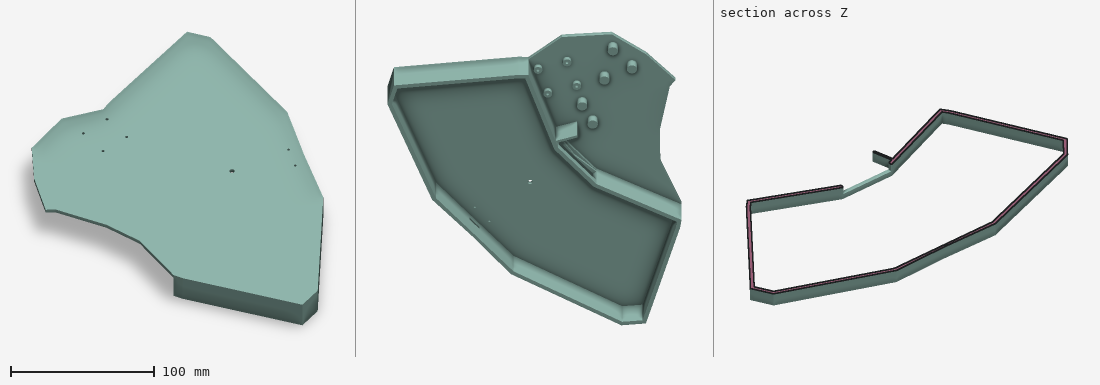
import cadquery as cq
import math

TOTAL_HEIGHT = 21.0
LID_THICKNESS = 3.0
LID_UNDERSIDE = TOTAL_HEIGHT - LID_THICKNESS
WALL = 3.0

REAR_CORNER = (42.5, 53.3)
REAR_MIDDLE = (0, 52.5)
SHOULDER = (126.0, 23.5)
SIDE_TIP = (136.0, 9.2)
SIDE_END = (87.2, -62.8)
FRONT_CORNER = (82.5, -68.0)
FRONT_ANGLE = 22.0
FRONT_HALF_WIDTH = 20.7
FRONT_SLOPE = math.tan(math.radians(FRONT_ANGLE))
FRONT_WALL_Y = FRONT_CORNER[1] + (FRONT_CORNER[0] - FRONT_HALF_WIDTH) * FRONT_SLOPE

LID_TONGUE = [
    (44.5, -80.7),
    (23.0, -98.5),
    (-1.4, -128.0),
    (-3.0, -134.5),
    (-33.5, -133.5),
    (-62.2, -126.5),
    (-FRONT_CORNER[0], -98.5),
]

OPENING_HALF_WIDTH = 20.5
OPENING_BOTTOM = 4.3
OPENING_TOP = 14.0
RECESS_TOP = 15.8
RECESS_DEPTH = 2.5

SLOT_WIDTH = 11.0
SLOT_BOTTOM = 12.0
SLOT_TOP = OPENING_TOP

CUTTER_DEPTH = 4 * WALL

CENTRE_HOLE_DIAMETER = 3.5
REAR_HOLE_DIAMETER = 1.85
REAR_HOLE_X = 8.0
REAR_HOLE_Y = 43.5

BOSS_CENTRE = (-58.7, -74.2)
BOSS_SPACING = (21.7, 21.2)
BOSS_DIAMETER = 6.0
BOSS_LENGTH = 3.0
BOSS_HOLE_DIAMETER = 2.1

PEG_DIAMETER = 7.0
PEG_LENGTH = 6.0
PEG_POINTS = [
    (-53.8, -120.5),
    (-33.2, -120.5),
    (-38.0, -99.5),
    (-30.7, -73.0),
    (-13.9, -68.5),
]

RIB_START_X = -25.3
RIB_LENGTH = 15.2
RIB_WIDTH = 2.0
RIB_BOTTOM = 2.0


def mirrored(point):
    return (-point[0], point[1])


def prism(points, bottom, top):
    return cq.Workplane("XY").workplane(offset=bottom).polyline(points).close().extrude(top - bottom)


def hanging_cylinders(points, diameter, length):
    """Cylinders that hang from the lid, sunk into it so that they join."""
    bottom = LID_UNDERSIDE - length
    plane = cq.Workplane("XY").workplane(offset=bottom).pushPoints(points)
    return plane.circle(diameter / 2).extrude(TOTAL_HEIGHT - bottom)


def lid_holes(points, diameter):
    return cq.Workplane("XY").pushPoints(points).circle(diameter / 2).extrude(TOTAL_HEIGHT)


def wall_cutter(width, y, bottom, top):
    """Block that passes through a wall running along X at the given Y."""
    return (
        cq.Workplane("XY")
        .box(width, CUTTER_DEPTH, top - bottom, centered=(True, True, False))
        .translate((0, y, bottom))
    )


right_side = [REAR_CORNER, SHOULDER, SIDE_TIP, SIDE_END, FRONT_CORNER]
left_side = [mirrored(point) for point in reversed(right_side)]
fan = left_side + [REAR_MIDDLE] + right_side
front_wall_ends = [(FRONT_HALF_WIDTH, FRONT_WALL_Y), (-FRONT_HALF_WIDTH, FRONT_WALL_Y)]

inner_outline = left_side + right_side + front_wall_ends
housing = prism(fan + front_wall_ends, 0, TOTAL_HEIGHT)
cavity = cq.Workplane("XY").polyline(inner_outline).close().offset2D(-WALL).extrude(LID_UNDERSIDE)
lid = prism(fan + LID_TONGUE, LID_UNDERSIDE, TOTAL_HEIGHT)
body = housing.cut(cavity).union(lid)

recess_apex = (0, FRONT_WALL_Y + RECESS_DEPTH)
recess = prism(front_wall_ends + [recess_apex], OPENING_TOP, RECESS_TOP)
body = body.cut(wall_cutter(2 * OPENING_HALF_WIDTH, FRONT_WALL_Y, OPENING_BOTTOM, OPENING_TOP))
body = body.cut(recess)
body = body.cut(wall_cutter(SLOT_WIDTH, REAR_MIDDLE[1], SLOT_BOTTOM, SLOT_TOP))

rib_start_y = FRONT_CORNER[1] + (RIB_START_X + FRONT_CORNER[0]) * FRONT_SLOPE
rib_overlap = WALL / 2
rib = (
    cq.Workplane("XY")
    .box(RIB_WIDTH, RIB_LENGTH + rib_overlap, LID_UNDERSIDE - RIB_BOTTOM, centered=False)
    .translate((0, -RIB_LENGTH, RIB_BOTTOM))
    .rotate((0, 0, 0), (0, 0, 1), FRONT_ANGLE)
    .translate((RIB_START_X, rib_start_y, 0))
)
body = body.union(rib)

boss_grid = cq.Workplane("XY").rect(*BOSS_SPACING).vertices()
boss_grid = boss_grid.rotate((0, 0, 0), (0, 0, 1), FRONT_ANGLE).translate((*BOSS_CENTRE, 0))
boss_points = [(corner.X, corner.Y) for corner in boss_grid.vals()]
body = body.union(hanging_cylinders(boss_points, BOSS_DIAMETER, BOSS_LENGTH))
body = body.union(hanging_cylinders(PEG_POINTS, PEG_DIAMETER, PEG_LENGTH))

rear_hole_points = [(-REAR_HOLE_X, REAR_HOLE_Y), (REAR_HOLE_X, REAR_HOLE_Y)]
body = body.cut(lid_holes(boss_points, BOSS_HOLE_DIAMETER))
body = body.cut(lid_holes(rear_hole_points, REAR_HOLE_DIAMETER))
result = body.cut(lid_holes([(0, 0)], CENTRE_HOLE_DIAMETER))